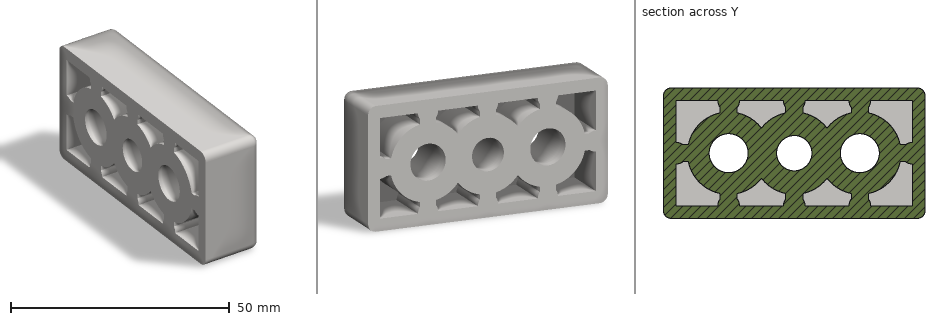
import cadquery as cq

length = 60.0
depth = 15.0
height = length / 2
edge_radius = 2.0

wall = 3.0
back_wall = wall
cavity_depth = depth - back_wall
cavity_length = length - 2 * wall
cavity_height = height - 2 * wall

boss_pitch = length / 4
boss_radius = 9.5
outer_hole_diameter = 8.8
center_hole_diameter = 8.0

rib_width = 4.0
post_radius = 2.5

boss_positions = [-boss_pitch, 0, boss_pitch]
front_y = -depth / 2


def front_plane(x=0):
    """Sketch plane on the open face, centred on x, with its normal pointing into the block."""
    return cq.Workplane(cq.Plane(origin=(x, front_y, 0), xDir=(-1, 0, 0), normal=(0, 1, 0)))


def make_block():
    """Block with rounded edges along Y and around the closed back face."""
    block = cq.Workplane("XY").box(length, depth, height)
    return block.edges("|Y").fillet(edge_radius).faces(">Y").edges().fillet(edge_radius)


def make_rib(x, angle):
    """Rib and its wall post, turned about the boss axis at x by angle degrees from +Z."""
    wall_distance = cavity_height / 2
    rib = front_plane().center(0, wall_distance / 2).rect(rib_width, wall_distance).extrude(cavity_depth)
    post = front_plane().center(0, wall_distance).circle(post_radius).extrude(cavity_depth)
    return rib.union(post).rotate((0, 0, 0), (0, 1, 0), angle).translate((x, 0, 0))


def make_pockets():
    """Cavity volume left between the walls, the bosses and the ribs."""
    pockets = front_plane().rect(cavity_length, cavity_height).extrude(cavity_depth)
    for x in boss_positions:
        pockets = pockets.cut(front_plane(x).circle(boss_radius).extrude(cavity_depth))
        for angle in (0, 180):
            pockets = pockets.cut(make_rib(x, angle))
    pockets = pockets.cut(make_rib(boss_pitch, 90))
    return pockets.cut(make_rib(-boss_pitch, -90))


def make_hole(x):
    """Through hole on the axis of the boss at x."""
    diameter = center_hole_diameter if x == 0 else outer_hole_diameter
    return front_plane(x).circle(diameter / 2).extrude(depth)


result = make_block().cut(make_pockets())
for boss_x in boss_positions:
    result = result.cut(make_hole(boss_x))